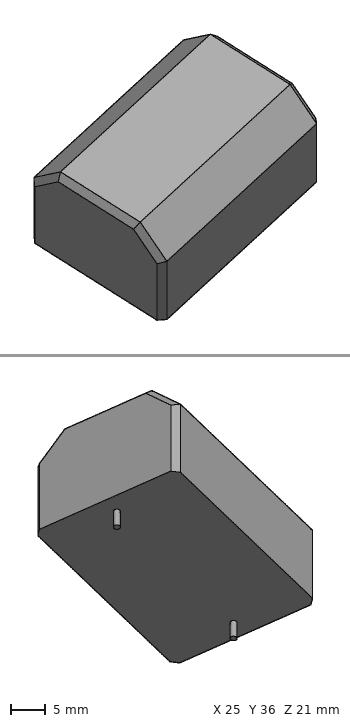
import cadquery as cq

length = 36.0
width = 25.0
total_height = 21.0
pin_length = 3.0
pin_diameter = 1.0
pin_spacing = 30.0
shoulder = 5.0
end_chamfer = 1.0

body_height = total_height - pin_length


def make_body():
    """Bevelled profile extruded along Y, with chamfered end faces."""
    half_width = width / 2
    top_half_width = half_width - shoulder
    shoulder_height = body_height - shoulder
    profile = [
        (-half_width, 0),
        (half_width, 0),
        (half_width, shoulder_height),
        (top_half_width, body_height),
        (-top_half_width, body_height),
        (-half_width, shoulder_height),
    ]
    body = cq.Workplane("XZ").polyline(profile).close().extrude(length / 2, both=True)
    end_edges = body.faces("<Y or >Y").edges("not <Z")
    return end_edges.chamfer(end_chamfer)


def make_pins():
    """Two round pins on the centre line, starting inside the body for a sound union."""
    overlap = pin_length / 2
    return (
        cq.Workplane("XY")
        .workplane(offset=-pin_length)
        .pushPoints([(0, -pin_spacing / 2), (0, pin_spacing / 2)])
        .circle(pin_diameter / 2)
        .extrude(pin_length + overlap)
    )


result = make_body().union(make_pins())